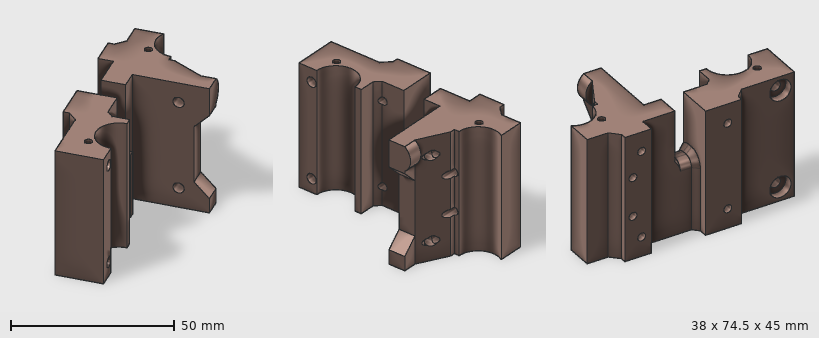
import cadquery as cq
import math

length_x = 38.0
length_y = 74.5
height = 45.0
mid_z = height / 2

plate_left = 5.0
plate_right = 13.0
pad_shoulder = 2.0
pad_flank = plate_left - pad_shoulder
front_pad_y = 22.0
back_pad_y = 54.5
back_pad_end_y = 64.0

slot_front_y = 35.0
slot_width = 8.0
slot_back_y = slot_front_y + slot_width
bridge_top = 25.7
bridge_corner = 3.15
flare = 2.0

jaw_face = 20.75
bore_radius = 7.5
front_bore_y = 14.5
bore_spacing = 56.0
back_bore_y = front_bore_y + bore_spacing
jaw_lip_y = 24.5
jaw_flank = 2.0

rib_reach = 3.0
rib_flat = 2.0

arm_front_y = 49.25
arm_tip_y = 55.5
arm_root_x = 22.5
arm_root_y = 61.1
arm_notch_x = 33.0
arm_tip_length = length_x - arm_notch_x
notch_bottom_z = 5.2
notch_top_z = 35.2
lug_radius = 5.5
lug_y = 52.3
lug_z = 40.5

screw_diameter = 3.6
counterbore_diameter = 7.6
counterbore_depth = 3.0
counterbored_y = 5.0
counterbored_spacing = 35.0
pin_diameter = 2.8
outer_pin_spacing = 31.0
inner_pin_spacing = 14.0
outer_pin_ys = (27.0, 58.0)
inner_pin_y = 61.1
arm_screw_x = 28.0
set_screw_diameter = 2.5
set_screw_depth = 10.0
set_screw_tip_angle = 118.0
set_screw_x = 12.9
set_screw_offset_y = 6.0


def box(x0, x1, y0, y1, z0, z1):
    """Box between two opposite corners."""
    return cq.Workplane("XY").box(x1 - x0, y1 - y0, z1 - z0, centered=False).translate((x0, y0, z0))


def paired_heights(spacing):
    """Two heights placed evenly about mid height."""
    return (mid_z - spacing / 2, mid_z + spacing / 2)


def drill_x(y, z, diameter, depth=length_x):
    """Hole along +X from the left face."""
    return cq.Workplane("YZ").center(y, z).circle(diameter / 2).extrude(depth)


def make_front_block():
    """Front pad and jaw in plan, up to the front side of the slot."""
    return (
        cq.Workplane("XY")
        .moveTo(plate_left, 0)
        .lineTo(jaw_face, 0)
        .lineTo(jaw_face, jaw_lip_y)
        .lineTo(plate_right + jaw_flank, jaw_lip_y)
        .lineTo(plate_right, jaw_lip_y + jaw_flank)
        .lineTo(plate_right, slot_front_y)
        .lineTo(0, slot_front_y)
        .lineTo(0, front_pad_y)
        .lineTo(pad_shoulder, front_pad_y)
        .lineTo(plate_left, front_pad_y - pad_flank)
        .close()
        .extrude(height)
    )


def make_back_block():
    """Back pad, back jaw and tapered arm in plan, from the back side of the slot."""
    return (
        cq.Workplane("XY")
        .moveTo(plate_left, slot_back_y)
        .lineTo(plate_right, slot_back_y)
        .lineTo(plate_right, arm_front_y)
        .lineTo(length_x, arm_front_y)
        .lineTo(length_x, arm_tip_y)
        .lineTo(arm_notch_x, arm_tip_y)
        .lineTo(arm_root_x, arm_root_y)
        .lineTo(jaw_face, arm_root_y)
        .lineTo(jaw_face, length_y)
        .lineTo(plate_left, length_y)
        .lineTo(plate_left, back_pad_end_y + pad_flank)
        .lineTo(pad_shoulder, back_pad_end_y)
        .lineTo(0, back_pad_end_y)
        .lineTo(0, back_pad_y)
        .lineTo(plate_left, back_pad_y)
        .close()
        .extrude(height)
    )


def bridge_section(y, growth):
    """Round-topped bridge outline at a given Y, grown outward by growth."""
    radius = bridge_corner + growth
    left = plate_left - growth
    right = plate_right + growth
    top = bridge_top + growth
    spring = top - radius
    diagonal = radius * math.sqrt(0.5)
    return (
        cq.Workplane("XZ", origin=(0, y, 0))
        .moveTo(left, 0)
        .lineTo(left, spring)
        .threePointArc((left + radius - diagonal, spring + diagonal), (left + radius, top))
        .lineTo(right - radius, top)
        .threePointArc((right - radius + diagonal, spring + diagonal), (right, spring))
        .lineTo(right, 0)
        .close()
    )


def make_flare(wall_y, inward):
    """Transition that widens the bridge where it meets the wall at wall_y."""
    narrow = bridge_section(wall_y + inward * flare, 0).wires().val()
    wide = bridge_section(wall_y, flare).wires().val()
    return cq.Workplane(obj=cq.Solid.makeLoft([wide, narrow], True))


def make_bridge():
    """Bridge across the slot, its flares kept within the faces they run into."""
    web = bridge_section(slot_back_y, 0).extrude(slot_width)
    front_flare = make_flare(slot_front_y, 1).intersect(
        box(0, plate_right, slot_front_y, slot_back_y, 0, height)
    )
    back_flare = make_flare(slot_back_y, -1).intersect(
        box(plate_left, plate_right, slot_front_y, slot_back_y, 0, height)
    )
    return web.union(front_flare).union(back_flare)


def make_rib():
    """Low rib on the right of the bridge, with a 45 degree front flank."""
    back_y = slot_back_y - flare
    flank_y = back_y - rib_flat
    rib_top = bridge_top - bridge_corner
    return (
        cq.Workplane("XY")
        .moveTo(plate_right, back_y)
        .lineTo(plate_right + rib_reach, back_y)
        .lineTo(plate_right + rib_reach, flank_y)
        .lineTo(plate_right, flank_y - rib_reach)
        .close()
        .extrude(rib_top)
    )


def make_lug():
    """Rounded back of the upper arm tip."""
    barrel = (
        cq.Workplane("YZ", origin=(arm_notch_x, 0, 0))
        .center(lug_y, lug_z)
        .circle(lug_radius)
        .extrude(arm_tip_length)
    )
    return barrel.intersect(box(arm_notch_x, length_x, lug_y, length_y, 0, height))


def make_arm_notch():
    """Notch through the arm tip with 45 degree ends."""
    return (
        cq.Workplane("XZ", origin=(0, length_y, 0))
        .moveTo(length_x, notch_bottom_z)
        .lineTo(length_x, notch_top_z)
        .lineTo(arm_notch_x, notch_top_z - arm_tip_length)
        .lineTo(arm_notch_x, notch_bottom_z + arm_tip_length)
        .close()
        .extrude(length_y)
    )


def make_bore(y):
    """Rail bore open to the right."""
    return cq.Workplane("XY").center(jaw_face, y).circle(bore_radius).extrude(height)


def make_set_screw_hole(y):
    """Blind hole from the top with a drilled tip."""
    radius = set_screw_diameter / 2
    tip = radius / math.tan(math.radians(set_screw_tip_angle / 2))
    return (
        cq.Workplane("XZ")
        .moveTo(0, 0)
        .lineTo(radius, 0)
        .lineTo(radius, -set_screw_depth)
        .lineTo(0, -set_screw_depth - tip)
        .close()
        .revolve(360, (0, 0, 0), (0, 1, 0))
        .translate((set_screw_x, y, height))
    )


def make_arm_screw_hole(z):
    """Hole through the arm along Y."""
    return (
        cq.Workplane("XZ", origin=(0, length_y, 0))
        .center(arm_screw_x, z)
        .circle(screw_diameter / 2)
        .extrude(length_y - arm_front_y)
    )


def make_part():
    """Joined blocks, bridge, rib and lug with every bore and hole cut."""
    body = make_front_block().union(make_back_block())
    body = body.union(make_bridge()).union(make_rib()).union(make_lug())
    body = body.cut(make_arm_notch())

    for bore_y in (front_bore_y, back_bore_y):
        body = body.cut(make_bore(bore_y))
        body = body.cut(make_set_screw_hole(bore_y - set_screw_offset_y))

    for z in paired_heights(counterbored_spacing):
        counterbore_end = plate_left + counterbore_depth
        body = body.cut(drill_x(counterbored_y, z, screw_diameter))
        body = body.cut(drill_x(counterbored_y, z, counterbore_diameter, counterbore_end))

    for z in paired_heights(outer_pin_spacing):
        for y in outer_pin_ys:
            body = body.cut(drill_x(y, z, pin_diameter, arm_notch_x))
        body = body.cut(make_arm_screw_hole(z))

    for z in paired_heights(inner_pin_spacing):
        body = body.cut(drill_x(inner_pin_y, z, pin_diameter))

    return body


result = make_part()